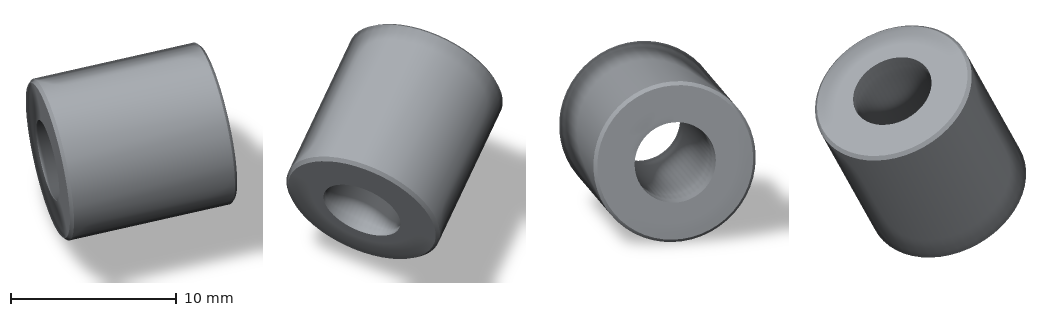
import cadquery as cq

outer_diameter = 10.0
bore_diameter = 5.0
length = 10.5
rim_chamfer = 0.2


def full_length_cylinder(diameter):
    """Cylinder along Y, as long as the bushing and centred on the origin."""
    start_face = cq.Workplane("XZ", origin=(0, length / 2, 0))
    return start_face.circle(diameter / 2).extrude(length)


def bushing_body():
    """Solid cylinder with both outer rims chamfered."""
    return full_length_cylinder(outer_diameter).faces("<Y or >Y").edges().chamfer(rim_chamfer)


result = bushing_body().cut(full_length_cylinder(bore_diameter))